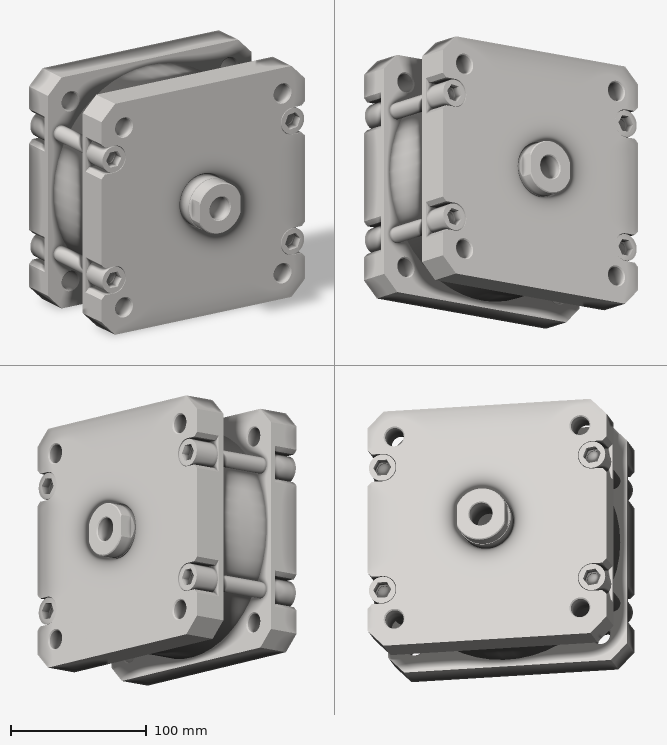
import cadquery as cq
import math


BARREL_LENGTH = 46.5
LEFT_PLATE_THICKNESS = 25.5
RIGHT_PLATE_THICKNESS = 25.0
SHAFT_LEFT_REACH = 12.0
SHAFT_RIGHT_REACH = 22.5
LEFT_FACE_X = -LEFT_PLATE_THICKNESS
RIGHT_FACE_X = BARREL_LENGTH + RIGHT_PLATE_THICKNESS
SHAFT_LEFT_X = LEFT_FACE_X - SHAFT_LEFT_REACH
SHAFT_RIGHT_X = RIGHT_FACE_X + SHAFT_RIGHT_REACH

PLATE_SIDE = 180.0
PLATE_CORNER_CHAMFER = 12.0
MOUNT_HOLE_OFFSET = 70.0
MOUNT_HOLE_DIAMETER = 14.0
MOUNT_HOLE_CHAMFER = 0.9
SHAFT_BORE_CHAMFER = 1.0

BARREL_DIAMETER = 170.0

SHAFT_DIAMETER = 40.0
SHAFT_END_DIAMETER = 39.5
SHAFT_END_LENGTH = SHAFT_LEFT_REACH
SHAFT_END_CHAMFER = 0.7
FLAT_LENGTH = 10.0
FLAT_OFFSET = 18.0
SHAFT_HOLE_DIAMETER = 17.5
SHAFT_HOLE_CHAMFER = 0.7
SHAFT_HOLE_DEPTH = 30.0
DRILL_POINT_ANGLE = 118.0

ROD_Y = 79.0
ROD_Z = 47.0
ROD_DIAMETER = 12.0
HEAD_DIAMETER = 20.2
LEFT_HEAD_RECESS = 0.5
SOCKET_ACROSS_FLATS = 11.7
SOCKET_DEPTH = 6.8
SOCKET_TURN_PLUS_Y = 8.0
SOCKET_FLOOR_HOLE_DIAMETER = 10.0
SOCKET_FLOOR_HOLE_DEPTH = 0.9
SLOT_WIDTH = 21.0
SLOT_DEPTH = 21.0
SLOT_MOUTH_CHAMFER = 3.0


def x_plane(x):
    """Sketch plane facing +X, with its local axes along Y and Z."""
    return cq.Workplane("YZ", origin=(x, 0, 0))


def x_cylinder(x_start, x_end, diameter, y=0.0, z=0.0):
    return x_plane(x_start).center(y, z).circle(diameter / 2).extrude(x_end - x_start)


def head_slot(x_start, x_end, side):
    """Round-ended slot opening through the plate's Y side, flared at its mouth."""
    half_width = SLOT_WIDTH / 2
    edge = PLATE_SIDE / 2
    flare_start = edge - SLOT_MOUTH_CHAMFER
    flare_half_width = half_width + SLOT_MOUTH_CHAMFER
    return (
        x_plane(x_start)
        .moveTo(side * ROD_Y, half_width)
        .lineTo(side * flare_start, half_width)
        .lineTo(side * edge, flare_half_width)
        .lineTo(side * edge, -flare_half_width)
        .lineTo(side * flare_start, -half_width)
        .lineTo(side * ROD_Y, -half_width)
        .threePointArc((side * (ROD_Y - half_width), 0), (side * ROD_Y, half_width))
        .close()
        .extrude(x_end - x_start)
    )


def mouth_cone(x_face, direction, diameter, chamfer):
    """45 degree countersink cutter on the axis, going in from a face along +X or -X."""
    radius = diameter / 2
    x_floor = x_face + direction * chamfer
    return (
        cq.Workplane("XY")
        .moveTo(x_face, 0)
        .lineTo(x_face, radius + chamfer)
        .lineTo(x_floor, radius)
        .lineTo(x_floor, 0)
        .close()
        .revolve(360, (0, 0, 0), (1, 0, 0))
    )


def mount_hole(x_start, x_end):
    """Through-hole cutter on the axis, chamfered at both faces."""
    hole = x_cylinder(x_start, x_end, MOUNT_HOLE_DIAMETER)
    for x_face, direction in ((x_start, 1), (x_end, -1)):
        hole = hole.union(mouth_cone(x_face, direction, MOUNT_HOLE_DIAMETER, MOUNT_HOLE_CHAMFER))
    return hole


def shaft_bore(inner_x, outer_x):
    """Shaft bore cutter, chamfered at the plate's outer face only."""
    inward = math.copysign(1, inner_x - outer_x)
    mouth = mouth_cone(outer_x, inward, SHAFT_DIAMETER, SHAFT_BORE_CHAMFER)
    return x_cylinder(inner_x, outer_x, SHAFT_DIAMETER).union(mouth)


def end_plate(inner_x, outer_x):
    """Plate between the barrel end at inner_x and the outer face at outer_x."""
    slot_floor_x = outer_x + math.copysign(SLOT_DEPTH, inner_x - outer_x)
    plate = (
        x_plane(inner_x)
        .rect(PLATE_SIDE, PLATE_SIDE)
        .extrude(outer_x - inner_x)
        .edges("|X")
        .chamfer(PLATE_CORNER_CHAMFER)
    )
    plate = plate.cut(shaft_bore(inner_x, outer_x))
    hole = mount_hole(min(inner_x, outer_x), max(inner_x, outer_x))
    for side in (-1, 1):
        slot = head_slot(slot_floor_x, outer_x, side)
        for level in (-1, 1):
            hole_offset = (0, side * MOUNT_HOLE_OFFSET, level * MOUNT_HOLE_OFFSET)
            plate = plate.cut(hole.translate(hole_offset))
            plate = plate.cut(slot.translate((0, 0, level * ROD_Z)))
            plate = plate.cut(x_cylinder(inner_x, outer_x, ROD_DIAMETER, side * ROD_Y, level * ROD_Z))
    return plate


def barrel_body():
    outside = x_cylinder(0, BARREL_LENGTH, BARREL_DIAMETER)
    return outside.cut(x_cylinder(0, BARREL_LENGTH, SHAFT_DIAMETER))


def wrench_flat(x_end, inward, side):
    """Cutter for one flat at a shaft end; its inner end slopes out at 45 degrees.

    inward is +1 or -1, the X direction from the shaft end toward the middle.
    """
    radius = SHAFT_DIAMETER / 2
    slope = radius - FLAT_OFFSET
    return (
        cq.Workplane("XY")
        .moveTo(x_end, side * FLAT_OFFSET)
        .lineTo(x_end + inward * FLAT_LENGTH, side * FLAT_OFFSET)
        .lineTo(x_end + inward * (FLAT_LENGTH + slope), side * radius)
        .lineTo(x_end, side * radius)
        .close()
        .extrude(radius, both=True)
    )


def shaft_end_hole(x_end, inward):
    """Blind hole with a chamfered mouth and a conical drill point."""
    radius = SHAFT_HOLE_DIAMETER / 2
    point_length = radius / math.tan(math.radians(DRILL_POINT_ANGLE / 2))
    x_bottom = x_end + inward * SHAFT_HOLE_DEPTH
    drilled = (
        cq.Workplane("XY")
        .moveTo(x_end, 0)
        .lineTo(x_end, radius)
        .lineTo(x_bottom, radius)
        .lineTo(x_bottom + inward * point_length, 0)
        .close()
        .revolve(360, (0, 0, 0), (1, 0, 0))
    )
    return drilled.union(mouth_cone(x_end, inward, SHAFT_HOLE_DIAMETER, SHAFT_HOLE_CHAMFER))


def shaft_body():
    shaft = x_cylinder(SHAFT_LEFT_X, SHAFT_RIGHT_X, SHAFT_END_DIAMETER)
    middle = x_cylinder(SHAFT_LEFT_X + SHAFT_END_LENGTH, SHAFT_RIGHT_X - SHAFT_END_LENGTH, SHAFT_DIAMETER)
    shaft = shaft.union(middle)
    shaft = shaft.faces("<X or >X").edges().chamfer(SHAFT_END_CHAMFER)
    for x_end, inward in ((SHAFT_LEFT_X, 1), (SHAFT_RIGHT_X, -1)):
        shaft = shaft.cut(shaft_end_hole(x_end, inward))
        for side in (-1, 1):
            shaft = shaft.cut(wrench_flat(x_end, inward, side))
    return shaft


def hex_socket(x_start, direction):
    """Hexagon socket going in from x_start, with a shallow round hole in its floor."""
    across_corners = SOCKET_ACROSS_FLATS / math.cos(math.radians(30))
    floor_x = x_start + direction * SOCKET_DEPTH
    hexagon = x_plane(x_start).polygon(6, across_corners).extrude(direction * SOCKET_DEPTH)
    return hexagon.union(
        x_cylinder(floor_x, floor_x + direction * SOCKET_FLOOR_HOLE_DEPTH, SOCKET_FLOOR_HOLE_DIAMETER)
    )


def tie_rod(y, z, socket_turn):
    """Rod running between two socket heads, each seated on the floor of its slot.

    socket_turn is the angle in degrees that the sockets are turned about X.
    """
    left_seat = LEFT_FACE_X + SLOT_DEPTH
    right_seat = RIGHT_FACE_X - SLOT_DEPTH
    left_end = LEFT_FACE_X + LEFT_HEAD_RECESS
    rod = (
        x_cylinder(left_seat, right_seat, ROD_DIAMETER)
        .union(x_cylinder(left_end, left_seat, HEAD_DIAMETER))
        .union(x_cylinder(right_seat, RIGHT_FACE_X, HEAD_DIAMETER))
    )
    for x_end, direction in ((left_end, 1), (RIGHT_FACE_X, -1)):
        socket = hex_socket(x_end, direction).rotate((0, 0, 0), (1, 0, 0), socket_turn)
        rod = rod.cut(socket)
    return rod.translate((0, y, z))


left_plate = end_plate(0, LEFT_FACE_X)
right_plate = end_plate(BARREL_LENGTH, RIGHT_FACE_X)
barrel = barrel_body()
shaft = shaft_body()
tie_rods = [
    tie_rod(side * ROD_Y, level * ROD_Z, socket_turn)
    for side, socket_turn in ((-1, 0), (1, SOCKET_TURN_PLUS_Y))
    for level in (-1, 1)
]

result = cq.Compound.makeCompound(
    [left_plate.val(), right_plate.val(), barrel.val(), shaft.val(), *[rod.val() for rod in tie_rods]]
)